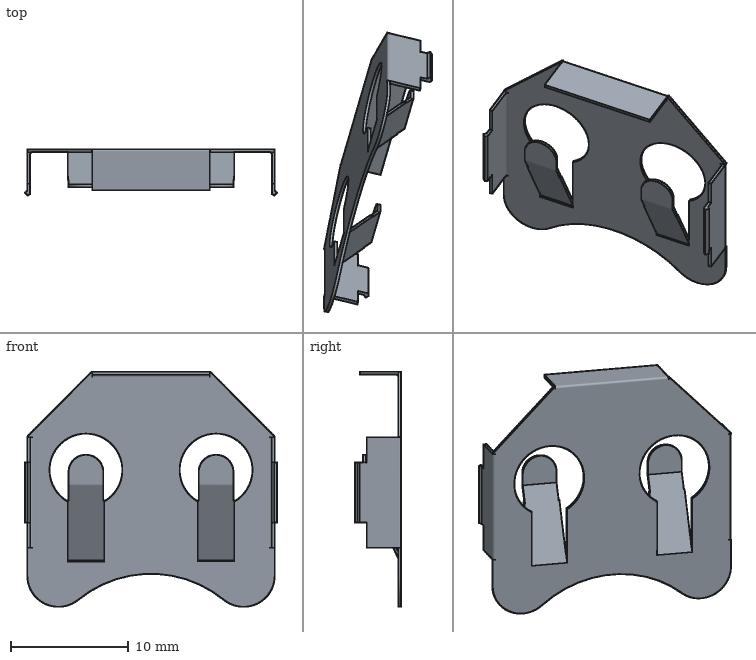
import cadquery as cq
import math

sheet = 0.25
bend_inner = 0.2
bend_outer = 0.2
bend_reach = sheet + bend_inner

overall_width = 21.48
lip_reach = 0.2
half_width = overall_width / 2 - lip_reach
plate_height = 20.05
top_edge_half = 5.05
shoulder_z = 14.52
foot_radius = 2.66
arch_z = 2.81

top_flange_length = 10.0
top_flange_depth = 3.52

side_flange_bottom = 5.03
side_flange_length = 9.45
side_flange_depth = 2.95
side_flange_mid = side_flange_bottom + side_flange_length / 2
tab_length = 5.11
lip_start = 3.52
lip_face = 0.24
lip_tip_depth = lip_start + lip_reach
lip_front_depth = 3.95
lip_inner_depth = 3.82

hole_x = 5.55
hole_z = 11.66
hole_radius = 3.1
slot_width = 3.11
tongue_width = 2.99
tongue_step_z = 9.09
tongue_base_z = 3.97
tongue_bend_z = 10.42
tongue_bend_radius = 0.25
tongue_top_z = 12.97
tongue_depth = 3.26
foot_recess = 0.09
left_slot_bottom = 3.85
right_slot_bottom = 3.9


def back_plate():
    """Flat plate with sloping shoulders and two round feet joined by a tangent arch."""
    foot_x = half_width - foot_radius
    drop = arch_z - foot_radius
    arch_radius = (foot_x**2 + drop**2 - foot_radius**2) / (2 * (foot_radius + drop))
    arch_center_z = arch_z - arch_radius
    share = foot_radius / (foot_radius + arch_radius)
    join_x = foot_x * (1 - share)
    join_z = foot_radius + (arch_center_z - foot_radius) * share
    return (
        cq.Workplane("XZ")
        .moveTo(-top_edge_half, plate_height)
        .lineTo(top_edge_half, plate_height)
        .lineTo(half_width, shoulder_z)
        .lineTo(half_width, foot_radius)
        .threePointArc((foot_x, 0), (join_x, join_z))
        .threePointArc((0, arch_z), (-join_x, join_z))
        .threePointArc((-foot_x, 0), (-half_width, foot_radius))
        .lineTo(-half_width, shoulder_z)
        .close()
        .extrude(sheet)
    )


def bent_flange(edge, depth, length):
    """Flange bent forward at X = edge, centred on Z = 0."""
    inner = edge - sheet
    outer_mid = bend_outer * (1 - math.sqrt(0.5))
    inner_mid = bend_inner * (1 - math.sqrt(0.5))
    return (
        cq.Workplane("XY")
        .moveTo(edge - bend_reach, 0)
        .lineTo(edge - bend_outer, 0)
        .threePointArc((edge - outer_mid, -outer_mid), (edge, -bend_outer))
        .lineTo(edge, -depth)
        .lineTo(inner, -depth)
        .lineTo(inner, -bend_reach)
        .threePointArc((inner - inner_mid, -sheet - inner_mid), (edge - bend_reach, -sheet))
        .close()
        .extrude(length / 2, both=True)
    )


def bend_gap(edge, length):
    """Strip of plate that a bent flange replaces."""
    strip = cq.Workplane("XY").box(bend_reach, sheet, length)
    return strip.translate((edge - bend_reach / 2, -sheet / 2, 0))


def snap_tab():
    """Tab that carries the side flange on forward and ends in an outward lip."""
    inner = half_width - sheet
    tip = half_width + lip_reach
    return (
        cq.Workplane("XY")
        .moveTo(inner, -bend_reach)
        .lineTo(half_width, -bend_reach)
        .lineTo(half_width, -lip_start)
        .lineTo(tip, -lip_tip_depth)
        .lineTo(tip - lip_face, -lip_front_depth)
        .lineTo(inner, -lip_inner_depth)
        .close()
        .extrude(tab_length / 2, both=True)
    )


def turn_to_top(shape):
    """Turn a shape made for the +X edge so that it sits on the +Z edge."""
    return shape.rotate((0, 0, 0), (0, 1, 0), -90)


def opening(slot_bottom):
    """Round hole with the slot below it, centred on X = 0."""
    hole = cq.Workplane("XZ").center(0, hole_z).circle(hole_radius).extrude(sheet)
    slot_height = hole_z - slot_bottom
    slot_mid = slot_bottom + slot_height / 2
    slot = cq.Workplane("XZ").center(0, slot_mid).rect(slot_width, slot_height).extrude(sheet)
    return hole.union(slot)


def tongue(slot_bottom):
    """Spring tongue that slopes forward from the slot and ends in an upright round tip."""
    root_depth = sheet - foot_recess
    rise_per_depth = (tongue_bend_z - tongue_base_z) / (tongue_depth - root_depth)
    slope_height = sheet * math.hypot(1, rise_per_depth)
    back_root_z = tongue_base_z - root_depth * rise_per_depth + slope_height
    back_bend_z = tongue_bend_z - sheet * rise_per_depth + slope_height
    tip_back = tongue_depth - sheet
    sloped_strip = (
        cq.Workplane("YZ")
        .polyline([
            (0, slot_bottom),
            (-root_depth, slot_bottom),
            (-root_depth, tongue_base_z),
            (-tongue_depth, tongue_bend_z),
            (-tongue_depth, tongue_top_z),
            (-tip_back, tongue_top_z),
            (-tip_back, back_bend_z),
            (0, back_root_z),
        ])
        .close()
        .extrude(slot_width / 2, both=True)
        .edges(cq.NearestToPointSelector((0, -tongue_depth, tongue_bend_z)))
        .fillet(tongue_bend_radius)
    )
    half_slot = slot_width / 2
    half_tongue = tongue_width / 2
    tip_center_z = tongue_top_z - half_tongue
    front_outline = (
        cq.Workplane("XZ")
        .moveTo(-half_slot, slot_bottom)
        .lineTo(half_slot, slot_bottom)
        .lineTo(half_slot, tongue_step_z)
        .lineTo(half_tongue, tongue_step_z)
        .lineTo(half_tongue, tip_center_z)
        .threePointArc((0, tongue_top_z), (-half_tongue, tip_center_z))
        .lineTo(-half_tongue, tongue_step_z)
        .lineTo(-half_slot, tongue_step_z)
        .close()
        .extrude(tongue_depth)
    )
    return sloped_strip.intersect(front_outline)


result = back_plate()

result = result.cut(turn_to_top(bend_gap(plate_height, top_flange_length)))
result = result.union(turn_to_top(bent_flange(plate_height, top_flange_depth, top_flange_length)))

side_gap = bend_gap(half_width, side_flange_length).translate((0, 0, side_flange_mid))
side_flange = bent_flange(half_width, side_flange_depth, side_flange_length).union(snap_tab())
side_flange = side_flange.translate((0, 0, side_flange_mid))
for gap, flange in ((side_gap, side_flange), (side_gap.mirror("YZ"), side_flange.mirror("YZ"))):
    result = result.cut(gap).union(flange)

for x, slot_bottom in ((-hole_x, left_slot_bottom), (hole_x, right_slot_bottom)):
    result = result.cut(opening(slot_bottom).translate((x, 0, 0)))
    result = result.union(tongue(slot_bottom).translate((x, 0, 0)))